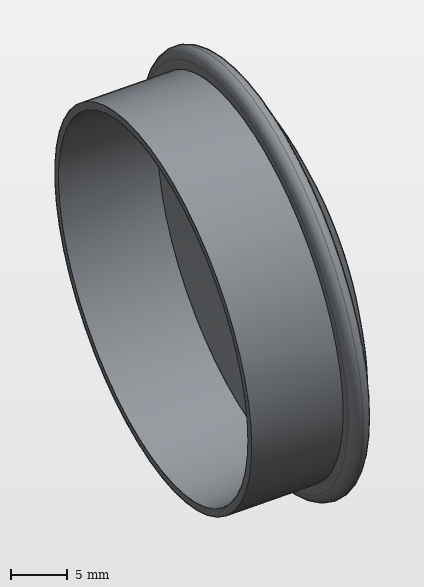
import cadquery as cq

OVERALL_RADIUS = 21.2
OVERALL_LENGTH = 16.0
RIM_EDGE_RADIUS = 1.0
SKIRT_LENGTH = 9.0
SKIRT_RADIUS = 19.25
WALL = 0.75
DOME_THICKNESS = 1.0

skirt_bore_radius = SKIRT_RADIUS - WALL
dome_edge_radius = OVERALL_RADIUS - RIM_EDGE_RADIUS

ring_top = SKIRT_LENGTH + WALL
rim_middle = SKIRT_LENGTH + RIM_EDGE_RADIUS
rim_top = SKIRT_LENGTH + 2 * RIM_EDGE_RADIUS
inner_dome_edge = rim_top - DOME_THICKNESS
inner_apex = OVERALL_LENGTH - DOME_THICKNESS

dome_rise = OVERALL_LENGTH - rim_top
dome_radius = (dome_edge_radius**2 + dome_rise**2) / (2 * dome_rise)


def add_outside(profile):
    """Skirt, half-round rim and outer dome, from the skirt bore up to the apex."""
    return (
        profile.moveTo(skirt_bore_radius, 0)
        .lineTo(SKIRT_RADIUS, 0)
        .lineTo(SKIRT_RADIUS, SKIRT_LENGTH)
        .lineTo(dome_edge_radius, SKIRT_LENGTH)
        .radiusArc((OVERALL_RADIUS, rim_middle), -RIM_EDGE_RADIUS)
        .radiusArc((dome_edge_radius, rim_top), -RIM_EDGE_RADIUS)
        .radiusArc((0, OVERALL_LENGTH), -dome_radius)
    )


def add_cavity(profile):
    """Inner dome, undercut behind the rim ring, and skirt bore, from the apex down."""
    return (
        profile.lineTo(0, inner_apex)
        .radiusArc((dome_edge_radius, inner_dome_edge), dome_radius)
        .lineTo(dome_edge_radius, ring_top)
        .lineTo(skirt_bore_radius, ring_top)
        .close()
    )


half_section = add_cavity(add_outside(cq.Workplane("XY")))
result = half_section.revolve(360, (0, 0, 0), (0, 1, 0))